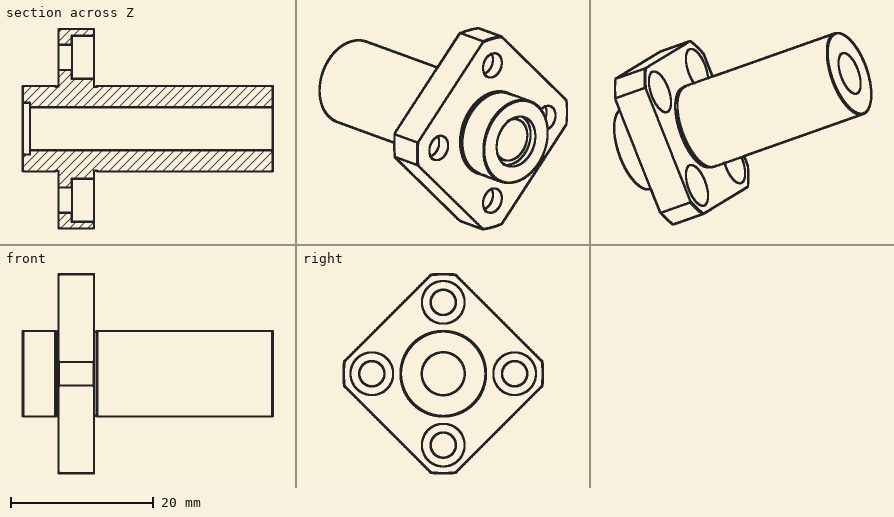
import cadquery as cq

length = 35.0
body_diameter = 12.0
body_radius = body_diameter / 2
end_chamfer = 0.1

bore_diameter = 6.0
counterbore_diameter = 7.2
counterbore_depth = 1.0

flange_start = 5.0
flange_thickness = 5.0
flange_end = flange_start + flange_thickness
flange_across_flats = 22.0
flange_corner_diameter = 28.0
corner_chamfer = 0.1

bolt_hole_diameter = 3.5
bolt_head_diameter = 6.0
bolt_head_seat = 1.9
bolt_circle_diameter = 20.0
bolt_count = 4

groove_depth = 0.1
front_groove_width = 0.5
front_groove_slope = 0.2
front_groove_rise = 0.15
front_groove_radius = 0.35
rear_groove_width = 0.45
rear_groove_slope = 0.1


def make_body():
    """Revolved sleeve with chamfered ends and a relief groove on each side of the flange."""
    neck_radius = body_radius - groove_depth
    chamfered_radius = body_radius - end_chamfer
    front_groove_start = flange_start - front_groove_width
    rear_groove_end = flange_end + rear_groove_width
    profile = (
        cq.Workplane("XY")
        .lineTo(0, chamfered_radius)
        .lineTo(end_chamfer, body_radius)
        .lineTo(front_groove_start, body_radius)
        .lineTo(front_groove_start + front_groove_slope, neck_radius)
        .radiusArc((flange_start, neck_radius + front_groove_rise), -front_groove_radius)
        .lineTo(flange_end, neck_radius + front_groove_rise)
        .lineTo(flange_end, neck_radius)
        .lineTo(rear_groove_end - rear_groove_slope, neck_radius)
        .lineTo(rear_groove_end, body_radius)
        .lineTo(length - end_chamfer, body_radius)
        .lineTo(length, chamfered_radius)
        .lineTo(length, 0)
        .close()
    )
    return profile.revolve(360, (0, 0, 0), (1, 0, 0))


def make_flange():
    """Square plate standing on its corner, with the corners turned to a chamfered disc."""
    flange_plane = cq.Workplane("YZ", origin=(flange_start, 0, 0))
    plate = (
        flange_plane
        .transformed(rotate=(0, 0, 45))
        .rect(flange_across_flats, flange_across_flats)
        .extrude(flange_thickness)
    )
    disc = (
        flange_plane
        .circle(flange_corner_diameter / 2)
        .extrude(flange_thickness)
        .edges()
        .chamfer(corner_chamfer)
    )
    return plate.intersect(disc)


def make_bolt_pattern(diameter, start):
    """Cylinders on the bolt circle, running from a place along X to the rear face of the flange."""
    return (
        cq.Workplane("YZ", origin=(start, 0, 0))
        .polarArray(bolt_circle_diameter / 2, 0, 360, bolt_count)
        .circle(diameter / 2)
        .extrude(flange_end - start)
    )


def make_bore():
    """Through bore with a counterbore at the short end."""
    bore = cq.Workplane("YZ").circle(bore_diameter / 2).extrude(length)
    counterbore = cq.Workplane("YZ").circle(counterbore_diameter / 2).extrude(counterbore_depth)
    return bore.union(counterbore)


bolt_holes = make_bolt_pattern(bolt_hole_diameter, flange_start)
bolt_head_recesses = make_bolt_pattern(bolt_head_diameter, flange_start + bolt_head_seat)
flange = make_flange().cut(bolt_holes).cut(bolt_head_recesses)

result = make_body().union(flange).cut(make_bore())